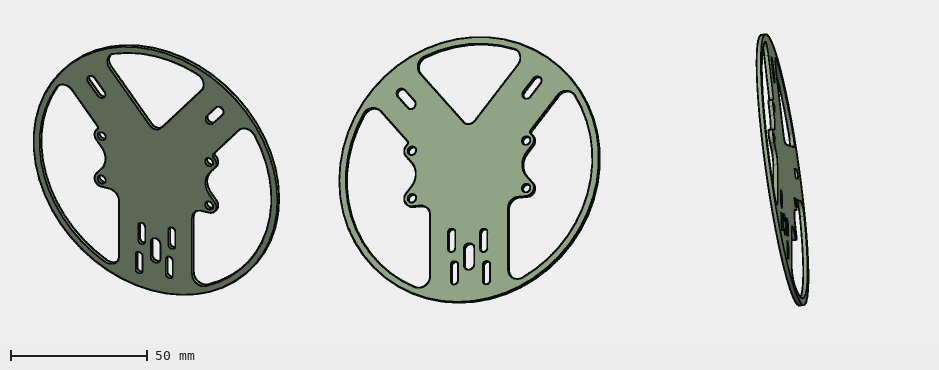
import cadquery as cq
import math

thickness = 1.6
outer_radius = 50.0
rim_width = 2.5
inner_radius = outer_radius - rim_width

arm_angle = 50.0
arm_half_width = 10.0
arm_rim_reach = math.sqrt(inner_radius**2 - arm_half_width**2)
column_half_width = 15.0
window_corner_radius = 4.0
crotch_radius = 3.0

ear_x = 22.0
ear_z = 9.0
ear_radius = 3.0
ear_hole_diameter = 3.2
ear_arm_fillet = 1.0
notch_angle = 50.0
notch_radius = 7.0

arm_slot_distance = 37.7
arm_slot_width = 3.5
arm_slot_travel = 6.0

motor_z = -33.0
motor_slot_travel = 6.0
shaft_slot_width = 4.0
screw_slot_width = 2.8
screw_slot_radii = (9.5, 8.0)
screw_slot_first_angle = 45.0
screw_slot_count = 4

far = 2 * outer_radius


def polar(radius, angle, origin=(0.0, 0.0)):
    """Point at a distance and an angle (degrees above X) from an origin."""
    turn = math.radians(angle)
    return (origin[0] + radius * math.cos(turn), origin[1] + radius * math.sin(turn))


def arm_point(along, across):
    """Point on the left arm: distance out along its axis, and offset towards its upper edge."""
    return polar(across, 90 - arm_angle, polar(along, 180 - arm_angle))


def plate_plane():
    """Workplane on the back face, with local axes X and Z; extrusion runs towards -Y."""
    return cq.Workplane("XZ", origin=(0, thickness / 2, 0))


def disc(radius, center=(0.0, 0.0)):
    return plate_plane().center(*center).circle(radius).extrude(thickness)


def slot(center, travel, width, angle):
    return plate_plane().center(*center).slot2D(travel + width, width, angle).extrude(thickness)


def inside_rim(points):
    """Part of a polygon that lies inside the rim."""
    return plate_plane().polyline(points).close().extrude(thickness).intersect(disc(inner_radius))


def round_corner(window, corner, radius):
    """Round the through-thickness edge of a window at a given corner."""
    nearest = cq.selectors.NearestToPointSelector((corner[0], 0, corner[1]))
    return window.edges("|Y").edges(nearest).fillet(radius)


def top_window():
    """Sector between the arms, up to the rim."""
    crotch = (0.0, arm_half_width / math.cos(math.radians(arm_angle)))
    left_far = arm_point(far, arm_half_width)
    right_far = (-left_far[0], left_far[1])
    window = inside_rim([crotch, left_far, right_far])
    window = round_corner(window, crotch, crotch_radius)
    corner_x, corner_z = arm_point(arm_rim_reach, arm_half_width)
    for x in (corner_x, -corner_x):
        window = round_corner(window, (x, corner_z), window_corner_radius)
    return window


def left_window():
    """Opening between the left arm, the two left ears, the column and the rim."""
    upper_ear = (-ear_x, ear_z)
    lower_ear = (-ear_x, -ear_z)

    turn = math.radians(arm_angle)
    ear_along = ear_x * math.cos(turn) + ear_z * math.sin(turn)
    ear_across = ear_z * math.cos(turn) - ear_x * math.sin(turn)
    ear_overhang = -arm_half_width - ear_across
    ear_arm_reach = ear_along + math.sqrt(ear_radius**2 - ear_overhang**2)

    flank_x, flank_z = polar(ear_radius, 270 - notch_angle, upper_ear)
    notch_tip = (flank_x + flank_z / math.tan(math.radians(notch_angle)), 0.0)

    shelf_z = -ear_z - ear_radius
    shelf_corner = (-column_half_width, shelf_z)

    window = inside_rim([
        arm_point(far, -arm_half_width),
        arm_point(ear_along, -arm_half_width),
        (flank_x, flank_z),
        notch_tip,
        (flank_x, -flank_z),
        (-ear_x, shelf_z),
        shelf_corner,
        (-column_half_width, -far),
        (-far, -far),
    ])
    for center in (upper_ear, lower_ear):
        window = window.cut(disc(ear_radius, center))

    arm_rim_corner = arm_point(arm_rim_reach, -arm_half_width)
    column_rim_corner = (-column_half_width, -math.sqrt(inner_radius**2 - column_half_width**2))
    window = round_corner(window, notch_tip, notch_radius)
    window = round_corner(window, arm_point(ear_arm_reach, -arm_half_width), ear_arm_fillet)
    for corner in (shelf_corner, arm_rim_corner, column_rim_corner):
        window = round_corner(window, corner, window_corner_radius)
    return window


def ear_holes():
    centers = [(x, z) for x in (-ear_x, ear_x) for z in (-ear_z, ear_z)]
    return plate_plane().pushPoints(centers).circle(ear_hole_diameter / 2).extrude(thickness)


def motor_slots():
    """Shaft slot and the four screw slots around it, all upright."""
    center = (0.0, motor_z)
    slots = slot(center, motor_slot_travel, shaft_slot_width, 90)
    for index in range(screw_slot_count):
        radius = screw_slot_radii[index % len(screw_slot_radii)]
        angle = screw_slot_first_angle + index * 360 / screw_slot_count
        screw = polar(radius, angle, center)
        slots = slots.union(slot(screw, motor_slot_travel, screw_slot_width, 90))
    return slots


def left_arm_slot():
    center = arm_point(arm_slot_distance, 0)
    return slot(center, arm_slot_travel, arm_slot_width, 180 - arm_angle)


result = disc(outer_radius).cut(top_window()).cut(ear_holes()).cut(motor_slots())
for opening in (left_window(), left_arm_slot()):
    result = result.cut(opening).cut(opening.mirror("YZ"))